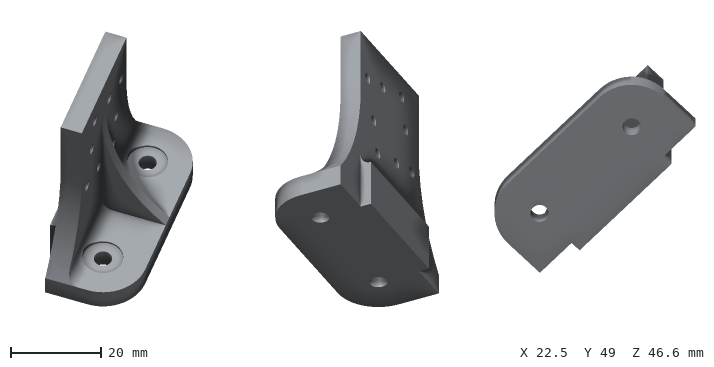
import cadquery as cq
import math

width = 49.0
height = 46.65
depth = 20.0
thickness = 5.0
corner_radius = 10.0
flare_radius = 40.0
small_fillet = 2.5
rib_thickness = 2.5
pad_depth = 2.5
pad_height = 11.1
screw_diameter = 4.0
counterbore_diameter = 9.0
counterbore_depth = 0.5
pin_diameter = 2.5
pin_pattern_height = 30.15
pin_offsets = [(-6.0, 11.02), (-8.0, 3.5)]

half_width = width / 2
half_neck = half_width - corner_radius


def flare_rise(run):
    """Height gained by a flare that starts upright and moves sideways by run."""
    return math.sqrt(flare_radius**2 - (flare_radius - run) ** 2)


def flare_middle(run):
    """Sideways run and drop, from the upright end, of the middle of a flare."""
    half_angle = math.acos(1 - run / flare_radius) / 2
    return flare_radius * (1 - math.cos(half_angle)), flare_radius * math.sin(half_angle)


def make_bracket():
    """L-shaped plate and base, trimmed to the flared outline and rounded corners."""
    inner = thickness + small_fillet
    bend = small_fillet * (1 - math.sqrt(0.5))
    angle_profile = (
        cq.Workplane("XZ")
        .moveTo(0, 0)
        .lineTo(depth, 0)
        .lineTo(depth, thickness)
        .lineTo(inner, thickness)
        .threePointArc((thickness + bend, thickness + bend), (thickness, inner))
        .lineTo(thickness, height)
        .lineTo(0, height)
        .close()
        .extrude(half_width, both=True)
    )

    flare_run = half_width - half_neck
    flare_top = thickness + flare_rise(flare_run)
    middle_run, middle_drop = flare_middle(flare_run)
    middle_y = half_neck + middle_run
    middle_z = flare_top - middle_drop
    outline = (
        cq.Workplane("YZ")
        .moveTo(-half_width, 0)
        .lineTo(half_width, 0)
        .lineTo(half_width, thickness)
        .threePointArc((middle_y, middle_z), (half_neck, flare_top))
        .lineTo(half_neck, height)
        .lineTo(-half_neck, height)
        .lineTo(-half_neck, flare_top)
        .threePointArc((-middle_y, middle_z), (-half_width, thickness))
        .close()
        .extrude(depth)
    )
    return angle_profile.intersect(outline).edges("|Z and >X").fillet(corner_radius)


def make_rib():
    """Central gusset with a concave edge, tangent to the plate at its top."""
    run = depth - thickness
    top = thickness + flare_rise(run)
    middle_run, middle_drop = flare_middle(run)
    return (
        cq.Workplane("XZ")
        .moveTo(thickness, thickness)
        .lineTo(depth, thickness)
        .threePointArc((thickness + middle_run, top - middle_drop), (thickness, top))
        .close()
        .extrude(rib_thickness / 2, both=True)
    )


def make_pad():
    """Pad on the outer face of the plate, blended upward by a concave fillet."""
    bend = small_fillet * math.sqrt(0.5)
    return (
        cq.Workplane("XZ")
        .moveTo(0, 0)
        .lineTo(-pad_depth, 0)
        .lineTo(-pad_depth, pad_height)
        .threePointArc(
            (-pad_depth + bend, pad_height + small_fillet - bend),
            (0, pad_height + small_fillet),
        )
        .close()
        .extrude(half_neck, both=True)
    )


def make_screw_holes():
    """Two counterbored holes, concentric with the base corners."""
    places = [(depth - corner_radius, side * half_neck) for side in (-1, 1)]
    holes = cq.Workplane("XY").pushPoints(places).circle(screw_diameter / 2).extrude(thickness)
    counterbores = (
        cq.Workplane("XY", origin=(0, 0, thickness - counterbore_depth))
        .pushPoints(places)
        .circle(counterbore_diameter / 2)
        .extrude(counterbore_depth + small_fillet)
    )
    return holes.union(counterbores)


def make_pin_holes():
    """Eight holes through the plate: each offset repeated in four quarter turns."""
    places = []
    for y, z in pin_offsets:
        for _ in range(4):
            places.append((y, z))
            y, z = -z, y
    return (
        cq.Workplane("YZ", origin=(0, 0, pin_pattern_height))
        .pushPoints(places)
        .circle(pin_diameter / 2)
        .extrude(thickness)
    )


result = (
    make_bracket()
    .union(make_rib())
    .union(make_pad())
    .cut(make_screw_holes())
    .cut(make_pin_holes())
)